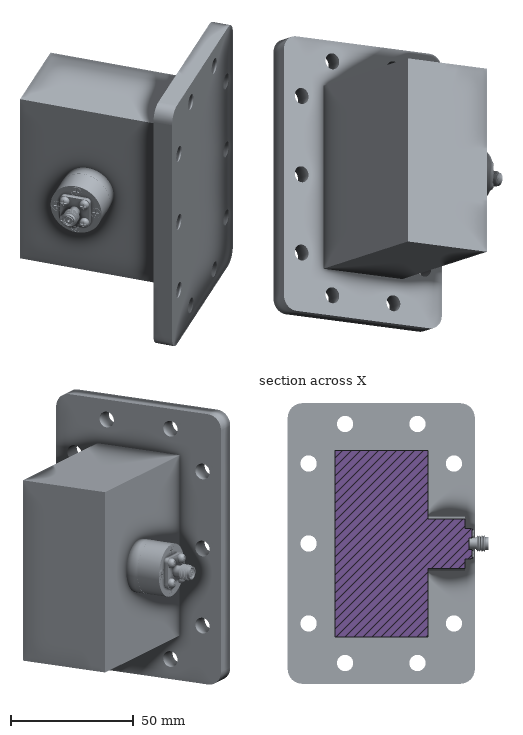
import cadquery as cq

FLANGE_LENGTH = 114.3
FLANGE_WIDTH = 76.2
FLANGE_THICKNESS = 8.0
FLANGE_CORNER_RADIUS = 5.9
BOLT_HOLE_DIAMETER = 6.6
END_HOLE_Y = 14.7
END_HOLE_Z = 48.7
SIDE_HOLE_Y = 29.6
SIDE_HOLE_Z = 32.6

BODY_LENGTH = 64.0
BODY_WIDTH = FLANGE_WIDTH / 2
BODY_HEIGHT = FLANGE_WIDTH

MOUNT_X = 29.3
BASE_DIAMETER = 22.0
BASE_HEIGHT = 5.0
CAP_DIAMETER = 21.9
CAP_HEIGHT = 9.9

CAP_SCREW_OFFSET = 8.3
CAP_SCREW_DIAMETER = 4.3
CAP_SCREW_GAP_DIAMETER = 4.6
CAP_SCREW_GAP_DEPTH = 0.2

PLATE_SIZE = 12.8
PLATE_THICKNESS = 1.7
PLATE_CORNER_RADIUS = 1.7
PAN_SCREW_OFFSET = 4.2
PAN_SCREW_DIAMETER = 4.0
PAN_SCREW_HEIGHT = 2.0
PAN_SCREW_ROUNDING = 1.6

CROSS_LENGTH = 2.6
CROSS_SLOT = 0.5
CROSS_DEPTH = 0.9

OVERALL_DEPTH = 81.7
NECK_DIAMETER = 4.7
NECK_LENGTH = 2.7
RELIEF_DIAMETER = 5.4
RELIEF_LENGTH = 0.5
THREAD_DIAMETER = 6.4
THREAD_PITCH = 0.7
THREAD_TURNS = 5
THREAD_FLANK = THREAD_PITCH / 3
BORE_DIAMETER = 4.0
BORE_DEPTH = 2.3
MOUTH_DIAMETER = 4.6
MOUTH_DEPTH = 0.5
INSULATOR_DIAMETER = 3.3
INSULATOR_RECESS = 0.3
PIN_DIAMETER = 1.3
PIN_RECESS = 0.1
PIN_SOCKET_DIAMETER = 1.0
PIN_SOCKET_DEPTH = 1.7

WALL = BODY_WIDTH / 2
CAP_FACE = WALL + BASE_HEIGHT + CAP_HEIGHT
PLATE_FACE = CAP_FACE + PLATE_THICKNESS
BARREL_TIP = OVERALL_DEPTH - FLANGE_WIDTH / 2
BORE_FLOOR = BARREL_TIP - BORE_DEPTH


def plane_at(distance):
    """Plane facing -Y, centred on the connector axis."""
    return cq.Workplane("XZ", origin=(MOUNT_X, -distance, 0))


def corners(y, z):
    """The four points at plus and minus the given offsets."""
    return [(sy * y, sz * z) for sy in (-1, 1) for sz in (-1, 1)]


def flange():
    """Rounded plate with ten bolt holes."""
    plate = (
        cq.Workplane("YZ", origin=(BODY_LENGTH, 0, 0))
        .rect(FLANGE_WIDTH, FLANGE_LENGTH)
        .extrude(FLANGE_THICKNESS)
        .edges("|X")
        .fillet(FLANGE_CORNER_RADIUS)
    )
    holes = corners(END_HOLE_Y, END_HOLE_Z) + corners(SIDE_HOLE_Y, SIDE_HOLE_Z)
    holes += [(-SIDE_HOLE_Y, 0), (SIDE_HOLE_Y, 0)]
    return plate.faces(">X").workplane(origin=(0, 0, 0)).pushPoints(holes).hole(BOLT_HOLE_DIAMETER)


def body():
    """Plain rectangular block between the closed end and the flange."""
    return cq.Workplane("YZ").rect(BODY_WIDTH, BODY_HEIGHT).extrude(BODY_LENGTH)


def cross_recesses(face, points):
    """Cross-shaped cutters sunk from a face at the given screw centres."""
    centres = plane_at(face).pushPoints(points)
    across = centres.rect(CROSS_LENGTH, CROSS_SLOT).extrude(-CROSS_DEPTH)
    upright = centres.rect(CROSS_SLOT, CROSS_LENGTH).extrude(-CROSS_DEPTH)
    return across.union(upright)


def mount():
    """Stepped round mount with four flush screws in its face."""
    offset = CAP_SCREW_OFFSET
    points = [(offset, 0), (-offset, 0), (0, offset), (0, -offset)]
    base = plane_at(WALL).circle(BASE_DIAMETER / 2).extrude(BASE_HEIGHT)
    cap = plane_at(WALL + BASE_HEIGHT).circle(CAP_DIAMETER / 2).extrude(CAP_HEIGHT)
    gaps = (
        plane_at(CAP_FACE)
        .pushPoints(points)
        .circle(CAP_SCREW_GAP_DIAMETER / 2)
        .circle(CAP_SCREW_DIAMETER / 2)
        .extrude(-CAP_SCREW_GAP_DEPTH)
    )
    return base.union(cap).cut(gaps).cut(cross_recesses(CAP_FACE, points))


def connector_plate():
    """Square plate held by a pan-head screw in each corner."""
    plate = (
        plane_at(CAP_FACE)
        .rect(PLATE_SIZE, PLATE_SIZE)
        .extrude(PLATE_THICKNESS)
        .edges("|Y")
        .fillet(PLATE_CORNER_RADIUS)
    )
    points = corners(PAN_SCREW_OFFSET, PAN_SCREW_OFFSET)
    heads = (
        plane_at(PLATE_FACE)
        .pushPoints(points)
        .circle(PAN_SCREW_DIAMETER / 2)
        .extrude(PAN_SCREW_HEIGHT)
        .faces("<Y")
        .edges()
        .fillet(PAN_SCREW_ROUNDING)
    )
    return plate.union(heads).cut(cross_recesses(PLATE_FACE + PAN_SCREW_HEIGHT, points))


def barrel():
    """Revolved barrel: neck, relief, grooved thread, tip, then the open bore with its pin."""
    crest = THREAD_DIAMETER / 2
    relief = RELIEF_DIAMETER / 2
    neck_end = PLATE_FACE + NECK_LENGTH
    thread_start = neck_end + RELIEF_LENGTH
    outline = [
        (0, -PLATE_FACE),
        (NECK_DIAMETER / 2, -PLATE_FACE),
        (NECK_DIAMETER / 2, -neck_end),
        (relief, -neck_end),
        (relief, -thread_start),
    ]
    for turn in range(THREAD_TURNS):
        root = thread_start + turn * THREAD_PITCH
        outline += [
            (crest, -(root + THREAD_FLANK)),
            (crest, -(root + THREAD_PITCH - THREAD_FLANK)),
            (relief, -(root + THREAD_PITCH)),
        ]
    outline += [(relief, -BARREL_TIP), (0, -BARREL_TIP)]
    solid = (
        cq.Workplane("XY", origin=(MOUNT_X, 0, 0))
        .polyline(outline)
        .close()
        .revolve(360, (0, 0), (0, 1))
    )
    bore = plane_at(BARREL_TIP).circle(BORE_DIAMETER / 2).extrude(-BORE_DEPTH)
    mouth = plane_at(BARREL_TIP).circle(MOUTH_DIAMETER / 2).extrude(-MOUTH_DEPTH)
    insulator = plane_at(BORE_FLOOR).circle(INSULATOR_DIAMETER / 2).extrude(BORE_DEPTH - INSULATOR_RECESS)
    pin = plane_at(BORE_FLOOR).circle(PIN_DIAMETER / 2).extrude(BORE_DEPTH - PIN_RECESS)
    socket = plane_at(BARREL_TIP).circle(PIN_SOCKET_DIAMETER / 2).extrude(-PIN_SOCKET_DEPTH)
    return solid.cut(bore).cut(mouth).union(insulator).union(pin).cut(socket)


result = body().union(flange()).union(mount()).union(connector_plate()).union(barrel())